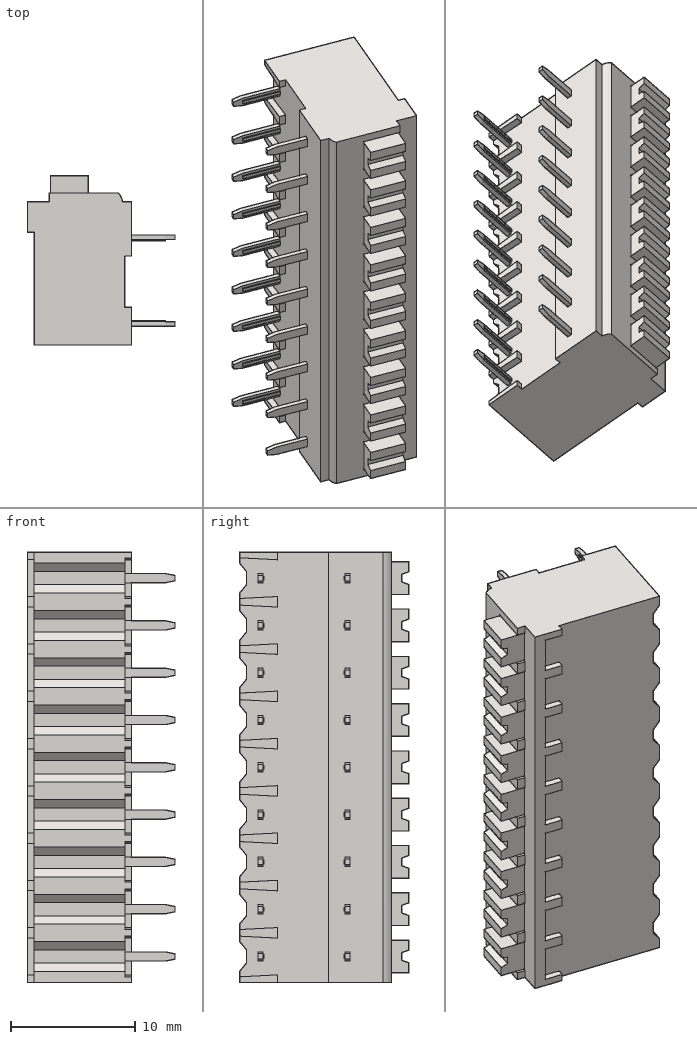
import cadquery as cq

CONTACTS = 9
PITCH = 3.81
LENGTH = 34.68

WALL_X = 0.55
FLOOR_X = 7.85
FOOT_X = 8.40
FRONT_FOOT_Y = 3.05
REAR_FOOT_Y = 7.17
LIP_RIB_Y = 9.08
LIP_BAND_Y = 10.60
SHOULDER_Y = 11.55
CROWN_Y = 12.25
CROWN_START_X = 1.75
CROWN_ARC_X = 7.33
CROWN_END_X = 7.67
CROWN_ARC_MID = (7.54, 11.97)

WINDOW_HEIGHT = 2.98

GROOVE_DEPTH = 0.55
GROOVE_MOUTH = 2.40
GROOVE_FLOOR = 1.06

POCKET_MOUTH = 3.28
POCKET_END = 2.96

BUTTON_X = (1.85, 4.92)
BUTTON_TOP_Y = 13.65
BUTTON_HEIGHT = 2.65
NOTCH_DEPTH = 0.58
NOTCH_MOUTH = 1.02
NOTCH_FLOOR = 0.60
BUTTON_SLOT_HEIGHT = 2.85

FRONT_PIN_Y = 1.69
REAR_PIN_Y = 8.69
PIN_THICKNESS = 0.38
PIN_WIDTH = 0.76
PIN_TAPER_X = 11.12
PIN_END_X = 11.90
PIN_TIP_WIDTH = 0.44
PIN_EMBED = 1.0
RIDGE_RISE = 0.10
RIDGE_WIDTH = 0.30

CONTACT_Z = [(i - (CONTACTS - 1) / 2) * PITCH for i in range(CONTACTS)]


def block(x_range, y_range, z_center, height):
    """Box spanning the given X and Y ranges, centred on z_center."""
    return (
        cq.Workplane("XY", origin=(0, 0, z_center - height / 2))
        .moveTo(x_range[0], y_range[0])
        .lineTo(x_range[1], y_range[0])
        .lineTo(x_range[1], y_range[1])
        .lineTo(x_range[0], y_range[1])
        .close()
        .extrude(height)
    )


def trapezoid_bar(x_range, y_range, heights, z_center):
    """Bar along X whose Z height changes from heights[0] to heights[1] across y_range."""
    start, end = heights[0] / 2, heights[1] / 2
    outline = [(y_range[0], -start), (y_range[1], -end), (y_range[1], end), (y_range[0], start)]
    return (
        cq.Workplane("YZ", origin=(x_range[0], 0, z_center))
        .polyline(outline)
        .close()
        .extrude(x_range[1] - x_range[0])
    )


def housing():
    return (
        cq.Workplane("XY", origin=(0, 0, -LENGTH / 2))
        .moveTo(WALL_X, 0)
        .lineTo(FOOT_X, 0)
        .lineTo(FOOT_X, FRONT_FOOT_Y)
        .lineTo(FLOOR_X, FRONT_FOOT_Y)
        .lineTo(FLOOR_X, REAR_FOOT_Y)
        .lineTo(FOOT_X, REAR_FOOT_Y)
        .lineTo(FOOT_X, SHOULDER_Y)
        .lineTo(CROWN_END_X, SHOULDER_Y)
        .threePointArc(CROWN_ARC_MID, (CROWN_ARC_X, CROWN_Y))
        .lineTo(CROWN_START_X, CROWN_Y)
        .lineTo(CROWN_START_X, SHOULDER_Y)
        .lineTo(0, SHOULDER_Y)
        .lineTo(0, LIP_RIB_Y)
        .lineTo(WALL_X, LIP_RIB_Y)
        .close()
        .extrude(LENGTH)
    )


def lip_window(z):
    return block((0, WALL_X), (LIP_RIB_Y, LIP_BAND_Y), z, WINDOW_HEIGHT)


def front_groove(z):
    return trapezoid_bar((WALL_X, FOOT_X), (0, GROOVE_DEPTH), (GROOVE_MOUTH, GROOVE_FLOOR), z)


def foot_pocket(z):
    return trapezoid_bar((FLOOR_X, FOOT_X), (0, FRONT_FOOT_Y), (POCKET_MOUTH, POCKET_END), z)


def button_slot(z):
    return block((CROWN_START_X, BUTTON_X[1]), (SHOULDER_Y, CROWN_Y), z, BUTTON_SLOT_HEIGHT)


def button(z):
    body = block(BUTTON_X, (SHOULDER_Y, BUTTON_TOP_Y), z, BUTTON_HEIGHT)
    notch_y = (BUTTON_TOP_Y - NOTCH_DEPTH, BUTTON_TOP_Y)
    return body.cut(trapezoid_bar(BUTTON_X, notch_y, (NOTCH_FLOOR, NOTCH_MOUTH), z))


def pin(y, z, ridge_side):
    """Tapered flat pin with a low ridge on its +Y (ridge_side = 1) or -Y (-1) face."""
    half, tip = PIN_WIDTH / 2, PIN_TIP_WIDTH / 2
    start_x = FLOOR_X - PIN_EMBED
    outline = [
        (start_x, -half),
        (PIN_TAPER_X, -half),
        (PIN_END_X, -tip),
        (PIN_END_X, tip),
        (PIN_TAPER_X, half),
        (start_x, half),
    ]
    blade = (
        cq.Workplane("XZ", origin=(0, y + PIN_THICKNESS / 2, z))
        .polyline(outline)
        .close()
        .extrude(PIN_THICKNESS)
    )
    ridge_top_y = y + ridge_side * (PIN_THICKNESS / 2 + RIDGE_RISE)
    ridge = block((start_x, PIN_TAPER_X), (y, ridge_top_y), z, RIDGE_WIDTH)
    return blade.union(ridge)


result = housing()

for z in CONTACT_Z:
    for cutter in (lip_window(z), front_groove(z), foot_pocket(z), button_slot(z)):
        result = result.cut(cutter)

for z in CONTACT_Z:
    result = result.union(button(z))
    result = result.union(pin(FRONT_PIN_Y, z, 1))
    result = result.union(pin(REAR_PIN_Y, z, -1))